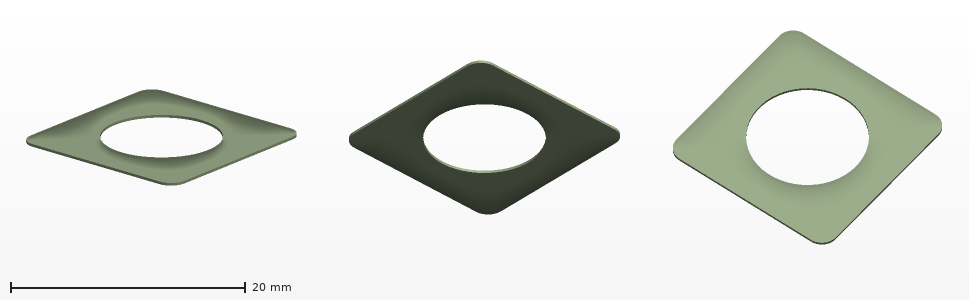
import cadquery as cq

side = 17.27
thickness = 0.25
corner_radius = 1.5
hole_diameter = 10.5

plate = cq.Workplane("XY").box(side, side, thickness).edges("|Z").fillet(corner_radius)
result = plate.faces(">Z").workplane().hole(hole_diameter)